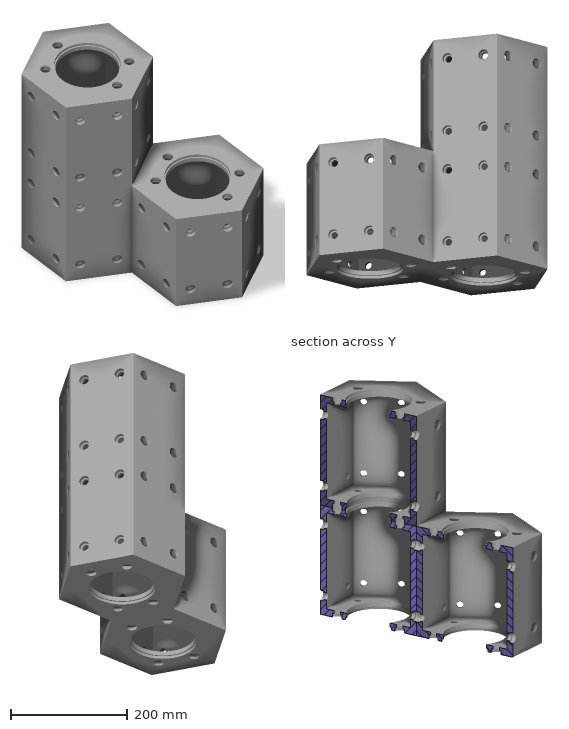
import cadquery as cq
import math

cell_width = 200.0
cell_height = 200.0
cavity_width = 174.0
wall = (cell_width - cavity_width) / 2
cavity_height = cell_height - 2 * wall

opening_diameter = 110.0
seat_ledge_thickness = 8.0
seat_depth = wall - seat_ledge_thickness
seat_diameter = opening_diameter + seat_depth

bolt_diameter = 12.0
bolt_head_diameter = 18.0
bolt_ledge_thickness = 6.0
bolt_head_depth = wall - bolt_ledge_thickness
bolt_long_pitch = 130.0
bolt_short_pitch = bolt_long_pitch / 2

face_count = 6

cell_centres = [
    (-cell_width / 2, 0, -cell_height / 2),
    (cell_width / 2, 0, -cell_height / 2),
    (-cell_width / 2, 0, cell_height / 2),
]


def hex_prism(width, height):
    """Hexagonal prism about the origin with two flats facing +X and -X."""
    half_face_angle = 180 / face_count
    corner_diameter = width / math.cos(math.radians(half_face_angle))
    return (
        cq.Workplane("XY")
        .polygon(face_count, corner_diameter)
        .extrude(height / 2, both=True)
        .rotate((0, 0, 0), (0, 0, 1), half_face_angle)
    )


def stepped_cutters(face_plane, points, diameter, step_diameter, step_depth):
    """Through-wall holes with a wider step sunk from the outer face."""
    holes = cq.Workplane(face_plane).pushPoints(points).circle(diameter / 2).extrude(-wall)
    steps = cq.Workplane(face_plane).pushPoints(points).circle(step_diameter / 2).extrude(-step_depth)
    return holes.union(steps)


def bolt_cutters(face_plane):
    """Four stepped bolt holes, with the long pitch along the plane's local X."""
    points = [
        (x * bolt_long_pitch / 2, y * bolt_short_pitch / 2)
        for x in (-1, 1)
        for y in (-1, 1)
    ]
    return stepped_cutters(face_plane, points, bolt_diameter, bolt_head_diameter, bolt_head_depth)


def make_cell():
    """Hollow hexagonal cell with an opening at both ends and bolt holes on all faces."""
    cell = hex_prism(cell_width, cell_height).cut(hex_prism(cavity_width, cavity_height))

    for direction in (-1, 1):
        end_plane = cq.Plane(
            origin=(0, 0, direction * cell_height / 2), xDir=(1, 0, 0), normal=(0, 0, direction)
        )
        cell = cell.cut(
            stepped_cutters(end_plane, [(0, 0)], opening_diameter, seat_diameter, seat_depth)
        )
        cell = cell.cut(bolt_cutters(end_plane))

    for index in range(face_count):
        angle = index * 2 * math.pi / face_count
        outward = (math.cos(angle), math.sin(angle), 0)
        face_centre = tuple(cell_width / 2 * component for component in outward)
        side_plane = cq.Plane(origin=face_centre, xDir=(0, 0, 1), normal=outward)
        cell = cell.cut(bolt_cutters(side_plane))

    return cell


cell_shape = make_cell()
cells = [cell_shape.translate(centre) for centre in cell_centres]

result = cq.Compound.makeCompound([cell.val() for cell in cells])